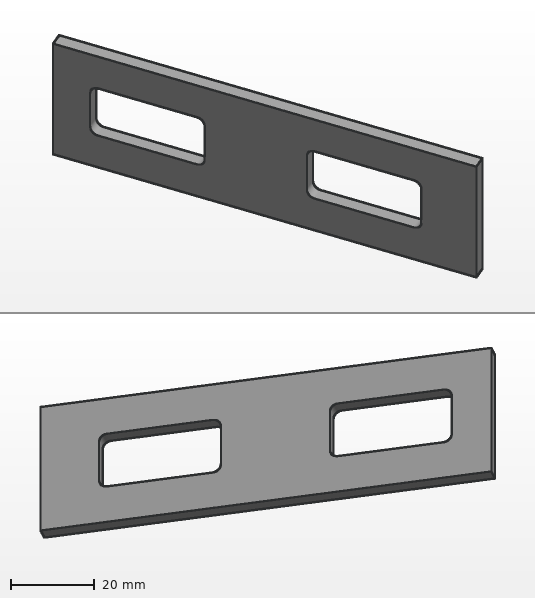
import cadquery as cq

length = 111.0
thickness = 3.5
height = 34.0

window_length = 30.0
window_height = 14.4
window_corner_radius = 2.0
window_pitch = 56.8
end_margin = 9.8

first_window_x = -length / 2 + end_margin + window_length / 2


def make_window(center_x):
    """Rounded rectangular cutter passing through the plate thickness."""
    return (
        cq.Workplane("XY")
        .box(window_length, thickness, window_height)
        .edges("|Y")
        .fillet(window_corner_radius)
        .translate((center_x, 0, 0))
    )


result = cq.Workplane("XY").box(length, thickness, height)
for center_x in (first_window_x, first_window_x + window_pitch):
    result = result.cut(make_window(center_x))